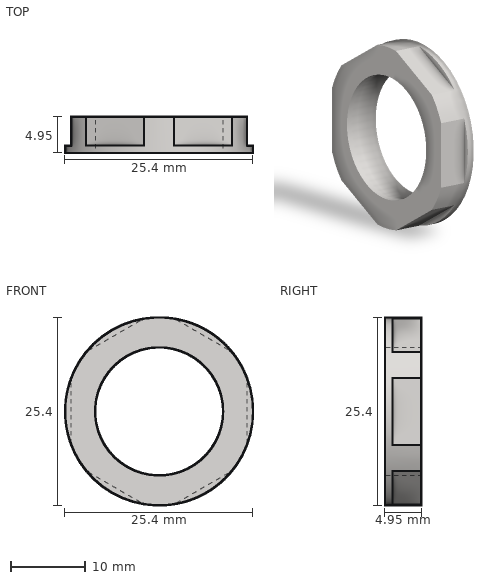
import cadquery as cq

outer_diameter = 25.4
bore_diameter = 17.25
ring_length = 4.95
flange_thickness = 1.02

flat_count = 6
across_flats = 23.75
flat_length = ring_length - flange_thickness


def cylinder_along_y(diameter, length):
    """Cylinder from Y = 0 to Y = length."""
    return cq.Workplane("XZ").circle(diameter / 2).extrude(-length)


def flat_cutter(angle):
    """Block outside one flat, turned about the Y axis."""
    depth = outer_diameter - across_flats
    block = cq.Workplane("XY").box(depth, flat_length, outer_diameter, centered=(False, False, True))
    block = block.translate((across_flats / 2, flange_thickness, 0))
    return block.rotate((0, 0, 0), (0, 1, 0), angle)


ring = cylinder_along_y(outer_diameter, ring_length)
ring = ring.cut(cylinder_along_y(bore_diameter, ring_length))

for index in range(flat_count):
    ring = ring.cut(flat_cutter(index * 360 / flat_count))

result = ring